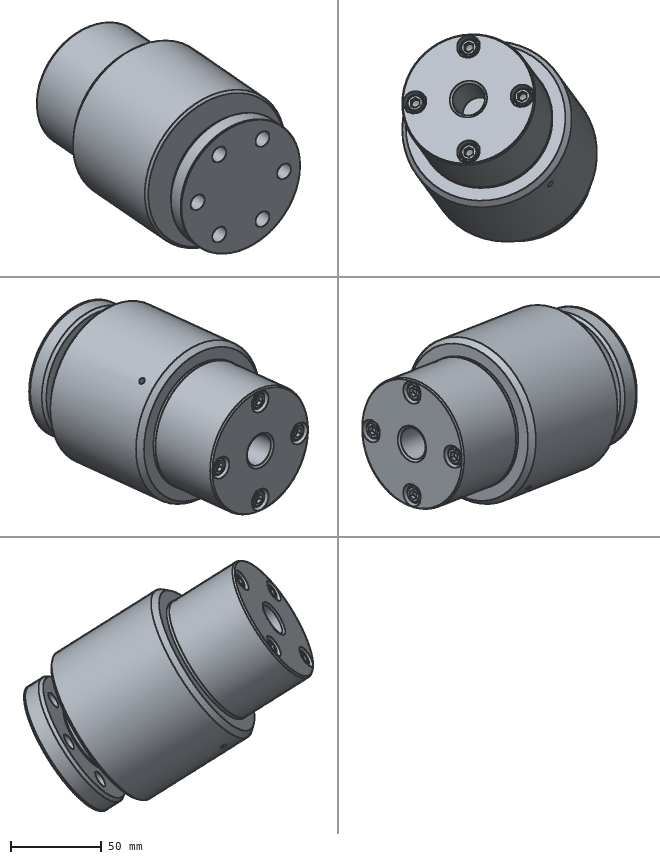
import cadquery as cq
import math

total_length = 141.8
ring_start = 44.2
body_start = 46.0
body_end = 118.7
flange_start = 129.5
relief_width = 0.7
rim_width = 1.0

spigot_dia = 75.5
ring_dia = 75.8
body_dia = 96.0
neck_dia = 40.3
relief_dia = 40.0
flange_dia = 81.0
rim_dia = 81.1

spigot_chamfer_length = 1.1
spigot_chamfer_depth = 0.7
body_front_chamfer_length = 3.4
body_front_chamfer_depth = 2.8
body_back_chamfer = 1.4
flange_chamfer_length = 2.1
flange_chamfer_depth = 1.4

bore_dia = 18.3
bore_depth = 28.4
bore_chamfer_length = 1.0
bore_chamfer_depth = 1.4

screw_count = 4
screw_circle_radius = 30.3
counterbore_dia = 12.9
counterbore_depth = 7.0
head_dia = 10.0
head_recess = 1.0
head_chamfer = 0.9
socket_across_flats = 5.0
socket_depth = 2.8
hex_half_angle = 30.0
drill_point_half_angle = 60.0

flange_hole_count = 6
flange_hole_dia = 9.5
flange_hole_circle_radius = 29.5

pin_hole_dia = 3.5
pin_hole_depth = 7.1
pin_hole_x = 59.0
pin_hole_angles = (45.0, 225.0)


def ring_points(radius, count):
    """Evenly spaced (y, z) points on a circle, starting on +Y and turning towards +Z."""
    angles = [2 * math.pi * i / count for i in range(count)]
    return [(radius * math.cos(a), radius * math.sin(a)) for a in angles]


def section(x):
    """Plane across the axis at x, with local axes +Y and +Z and normal +X."""
    return cq.Workplane("YZ", origin=(x, 0, 0))


def revolve_profile(points):
    """Closed outline of (x, radius) points revolved about the X axis."""
    return cq.Workplane("XY").polyline(points).close().revolve(360, (0, 0, 0), (1, 0, 0))


def turned_blank():
    """Spigot, body, neck and flange as one turned solid."""
    spigot_r = spigot_dia / 2
    body_r = body_dia / 2
    flange_r = flange_dia / 2
    relief_start = flange_start - relief_width
    rim_start = total_length - rim_width
    profile = [
        (0, 0),
        (0, spigot_r - spigot_chamfer_depth),
        (spigot_chamfer_length, spigot_r),
        (ring_start, spigot_r),
        (ring_start, ring_dia / 2),
        (body_start, ring_dia / 2),
        (body_start, body_r - body_front_chamfer_depth),
        (body_start + body_front_chamfer_length, body_r),
        (body_end - body_back_chamfer, body_r),
        (body_end, body_r - body_back_chamfer),
        (body_end, neck_dia / 2),
        (relief_start, neck_dia / 2),
        (relief_start, relief_dia / 2),
        (flange_start, relief_dia / 2),
        (flange_start, flange_r - flange_chamfer_depth),
        (flange_start + flange_chamfer_length, flange_r),
        (rim_start, flange_r),
        (rim_start, rim_dia / 2),
        (total_length, rim_dia / 2),
        (total_length, 0),
    ]
    return revolve_profile(profile)


def bore():
    """Flat-bottomed bore with a chamfered mouth."""
    bore_r = bore_dia / 2
    profile = [
        (0, 0),
        (0, bore_r + bore_chamfer_depth),
        (bore_chamfer_length, bore_r),
        (bore_depth, bore_r),
        (bore_depth, 0),
    ]
    return revolve_profile(profile)


def screw_head():
    """Screw head on the X axis: chamfered cylinder with a hex socket ending in a drill point."""
    head = section(head_recess).circle(head_dia / 2).extrude(counterbore_depth - head_recess)
    head = head.faces("<X").chamfer(head_chamfer)
    across_corners = socket_across_flats / math.cos(math.radians(hex_half_angle))
    socket = section(head_recess).transformed(rotate=(0, 0, hex_half_angle)).polygon(6, across_corners)
    socket = socket.extrude(socket_depth)
    point_r = socket_across_flats / 2
    point_depth = point_r / math.tan(math.radians(drill_point_half_angle))
    point_x = head_recess + socket_depth
    point = revolve_profile([(point_x, 0), (point_x, point_r), (point_x + point_depth, 0)])
    return head.cut(socket).cut(point)


def pin_hole(angle):
    """Radial hole drilled inwards from the body surface."""
    floor_r = body_dia / 2 - pin_hole_depth
    hole = cq.Workplane("XZ", origin=(pin_hole_x, -floor_r, 0)).circle(pin_hole_dia / 2)
    hole = hole.extrude(2 * pin_hole_depth)
    return hole.rotate((0, 0, 0), (1, 0, 0), 180 + angle)


result = turned_blank().cut(bore())

screw_points = ring_points(screw_circle_radius, screw_count)
counterbores = section(0).pushPoints(screw_points).circle(counterbore_dia / 2).extrude(counterbore_depth)
result = result.cut(counterbores)
for y, z in screw_points:
    result = result.union(screw_head().translate((0, y, z)))

flange_hole_points = ring_points(flange_hole_circle_radius, flange_hole_count)
flange_holes = section(flange_start).pushPoints(flange_hole_points).circle(flange_hole_dia / 2)
result = result.cut(flange_holes.extrude(total_length - flange_start))

for angle in pin_hole_angles:
    result = result.cut(pin_hole(angle))